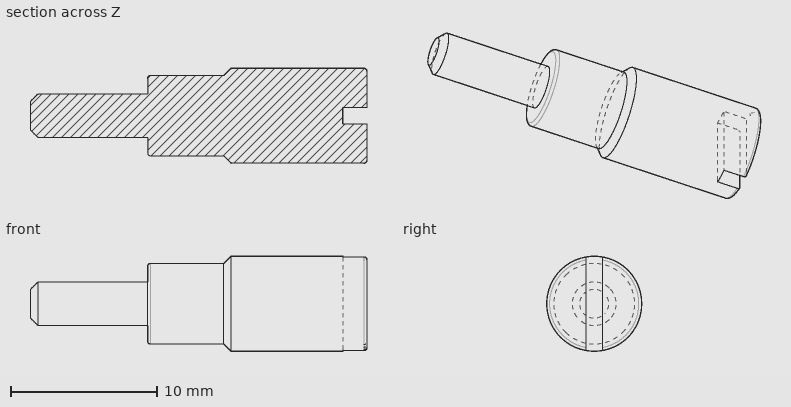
import cadquery as cq

total_length = 23.0
pin_length = 8.0
pin_radius = 1.5
pin_chamfer = 0.5
collar_end = 13.2
collar_radius = 2.75
body_diameter = 6.5
body_radius = body_diameter / 2
shoulder_chamfer = body_radius - collar_radius
edge_round = 0.2
slot_width = 1.1
slot_depth = 1.65

half_length = total_length / 2


def cylinder(start, end, radius):
    """Round section along X, from start to end."""
    return cq.Workplane("YZ", origin=(start, 0, 0)).circle(radius).extrude(end - start)


pin = cylinder(-half_length, pin_length - half_length, pin_radius)
pin = pin.faces("<X").chamfer(pin_chamfer)

collar = cylinder(pin_length - half_length, collar_end - half_length, collar_radius)
collar = collar.faces("<X").fillet(edge_round)

body = cylinder(collar_end - half_length, half_length, body_radius)
body = body.faces("<X").chamfer(shoulder_chamfer)
body = body.faces(">X").fillet(edge_round)

slot = cq.Workplane("XY").box(slot_depth, slot_width, body_diameter)
slot = slot.translate((half_length - slot_depth / 2, 0, 0))

result = pin.union(collar).union(body).cut(slot)